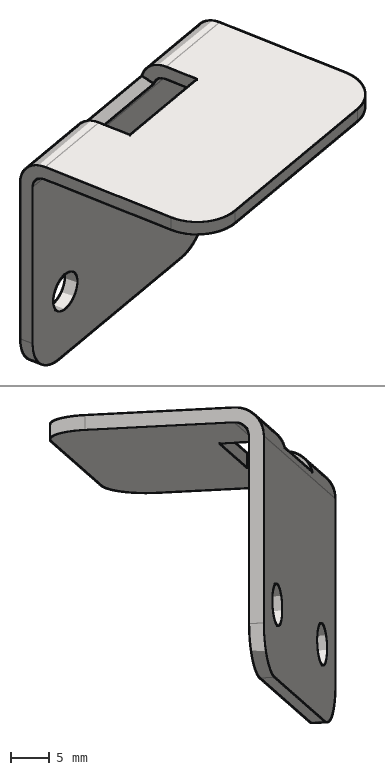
import cadquery as cq
import math

length_x = 30.0
width_y = 40.0
height_z = 35.0
thickness = 2.0
bend_outer_radius = 4.0
bend_inner_radius = bend_outer_radius - thickness
corner_radius = 6.0

window_width = 15.4
window_reach = 8.9
window_depth = 3.0

hole_diameter = 5.5
hole_spacing = 25.0
hole_height = 10.0


def bent_sheet():
    """L-shaped sheet with a rounded bend, centred on Y and standing on Z = 0."""
    sheet = (
        cq.Workplane("XZ")
        .moveTo(0, 0)
        .lineTo(thickness, 0)
        .lineTo(thickness, height_z - thickness)
        .lineTo(length_x, height_z - thickness)
        .lineTo(length_x, height_z)
        .lineTo(0, height_z)
        .close()
        .extrude(width_y / 2, both=True)
    )
    inner_corner = (thickness, 0, height_z - thickness)
    outer_corner = (0, 0, height_z)
    sheet = sheet.edges(cq.NearestToPointSelector(inner_corner)).fillet(bend_inner_radius)
    return sheet.edges(cq.NearestToPointSelector(outer_corner)).fillet(bend_outer_radius)


def round_free_corners(sheet):
    """Round the two outer corners of each leg."""
    sheet = sheet.faces(">X").edges("|Z").fillet(corner_radius)
    return sheet.faces("<Z").edges("|X").fillet(corner_radius)


def bend_window():
    """Cutter through the bend whose lower face points at the bend axis, square to the sheet."""
    axis_x = bend_outer_radius
    axis_z = height_z - bend_outer_radius
    edge_rise = bend_outer_radius - window_depth
    edge_run = math.sqrt(bend_outer_radius**2 - edge_rise**2)
    return (
        cq.Workplane("XZ")
        .moveTo(axis_x, axis_z)
        .lineTo(axis_x - edge_run, axis_z + edge_rise)
        .lineTo(axis_x - edge_run, height_z)
        .lineTo(window_reach, height_z)
        .lineTo(window_reach, axis_z)
        .close()
        .extrude(window_width / 2, both=True)
    )


def mounting_holes():
    """Pair of cylinders through the upright leg."""
    hole_centres = [(side * hole_spacing / 2, hole_height) for side in (-1, 1)]
    return (
        cq.Workplane("YZ")
        .pushPoints(hole_centres)
        .circle(hole_diameter / 2)
        .extrude(thickness)
    )


result = round_free_corners(bent_sheet()).cut(bend_window()).cut(mounting_holes())